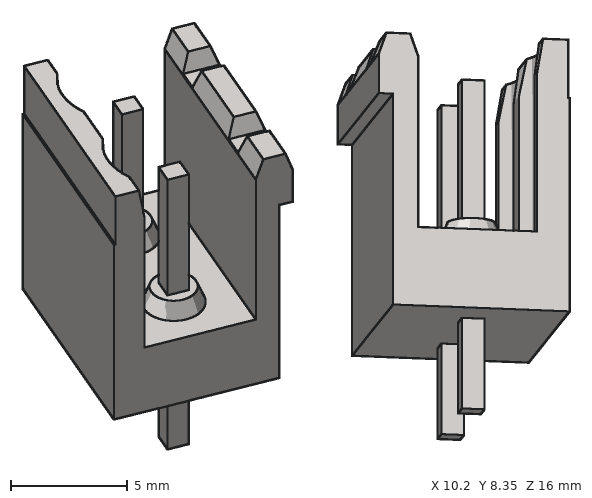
import cadquery as cq

pole_count = 2
width = 10.16
pitch = width / pole_count
height = 16.0

body_bottom = 4.0
floor_z = 7.47
front_step_depth = 0.06
front_step_z = 13.42
front_wall_inner_y = 1.44
front_wall_tip_y = 1.17
front_taper_z = 14.42
back_wall_inner_y = 6.62
back_wall_outer_y = 7.73

lip_outer_y = 8.35
lip_bottom_z = 13.31
lip_outer_taper_z = 15.05
lip_inner_taper_z = 15.0
lip_tip_outer_y = 8.02
lip_tip_inner_y = 6.98

notch_top_width = 1.5
notch_floor_width = 1.04
notch_floor_z = 15.05

pin_size = 1.0
pin_y = 3.85
pin_top = 14.53
collar_base_radius = 1.38
collar_top_radius = 1.04
collar_height = 0.83
scallop_radius = 3.07

pole_positions = [(i + 0.5) * pitch for i in range(pole_count)]


def housing():
    """U-shaped side profile extruded over the full width."""
    profile = [
        (0, body_bottom),
        (0, front_step_z),
        (front_step_depth, front_step_z),
        (front_step_depth, height),
        (front_wall_tip_y, height),
        (front_wall_inner_y, front_taper_z),
        (front_wall_inner_y, floor_z),
        (back_wall_inner_y, floor_z),
        (back_wall_inner_y, lip_inner_taper_z),
        (lip_tip_inner_y, height),
        (lip_tip_outer_y, height),
        (lip_outer_y, lip_outer_taper_z),
        (lip_outer_y, lip_bottom_z),
        (back_wall_outer_y, lip_bottom_z),
        (back_wall_outer_y, body_bottom),
    ]
    return cq.Workplane("YZ").polyline(profile).close().extrude(width)


def scallop(x):
    """Half-round relief in the front wall, concentric with the pin."""
    return (
        cq.Workplane("XY", origin=(x, pin_y, floor_z))
        .moveTo(-scallop_radius, 0)
        .threePointArc((0, -scallop_radius), (scallop_radius, 0))
        .close()
        .extrude(height - floor_z)
    )


def lip_notch(x):
    """Notch with sloping sides, cut through the lip from front to back."""
    return (
        cq.Workplane("XZ", origin=(x, lip_outer_y, 0))
        .moveTo(-notch_floor_width / 2, notch_floor_z)
        .lineTo(notch_floor_width / 2, notch_floor_z)
        .lineTo(notch_top_width / 2, height)
        .lineTo(-notch_top_width / 2, height)
        .close()
        .extrude(lip_outer_y - back_wall_inner_y)
    )


def contact(x):
    """Square pin through the floor with a conical collar around it."""
    pin = (
        cq.Workplane("XY", origin=(x, pin_y, 0))
        .rect(pin_size, pin_size)
        .extrude(pin_top)
    )
    collar = (
        cq.Workplane("XY", origin=(x, pin_y, floor_z))
        .circle(collar_base_radius)
        .workplane(offset=collar_height)
        .circle(collar_top_radius)
        .loft()
    )
    return pin.union(collar)


result = housing()
for pole_x in pole_positions:
    result = result.cut(scallop(pole_x)).cut(lip_notch(pole_x))
    result = result.union(contact(pole_x))